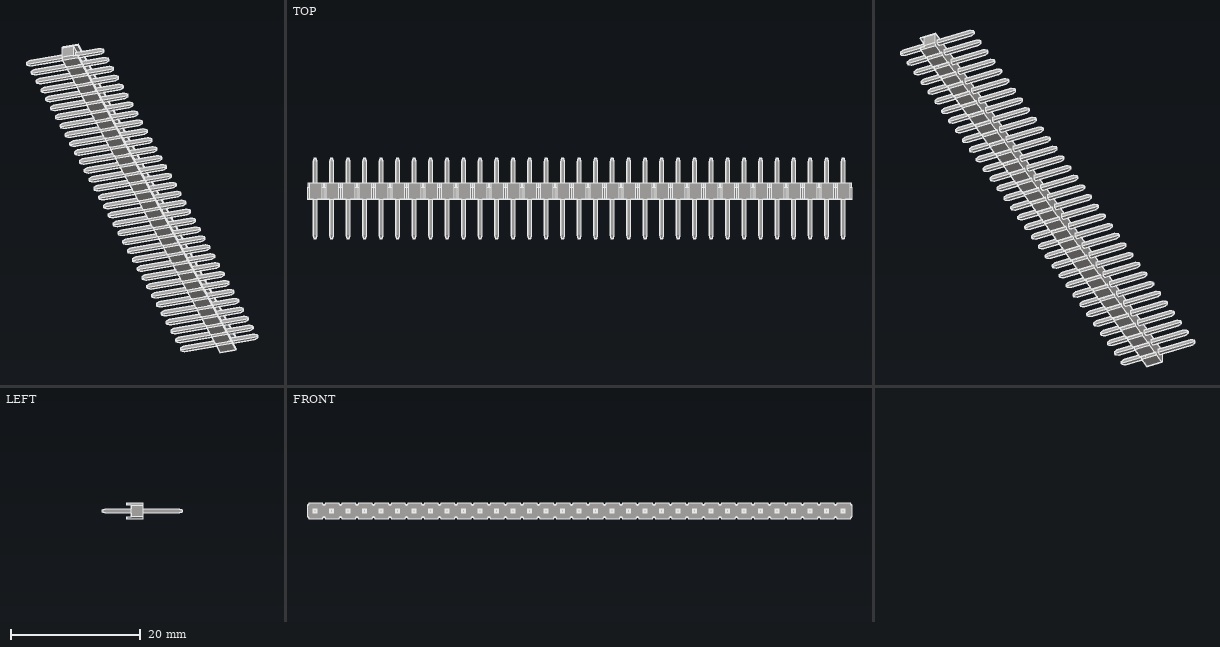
import cadquery as cq

PIN_COUNT = 33
PITCH = 2.54

BODY_DEPTH = 2.54
BODY_HEIGHT = 2.5
CORNER_CHAMFER_X = 0.3
CORNER_CHAMFER_Z = 0.4
CHANNEL_DEPTH = 0.7
FOOT_THICKNESS = 0.33

PIN_SIZE = 0.64
PIN_LENGTH = 12.4
PIN_FRONT_LENGTH = 6.08
PIN_OFFSET = -0.1
TIP_LENGTH = 0.55
TIP_SIZE = PIN_SIZE / 2

BODY_FRONT_Y = -BODY_DEPTH / 2
BODY_BACK_Y = BODY_DEPTH / 2
PIN_FRONT_Y = BODY_FRONT_Y - PIN_FRONT_LENGTH
PIN_BACK_Y = PIN_FRONT_Y + PIN_LENGTH
ROW_LENGTH = PIN_COUNT * PITCH
SEGMENT_CENTRES = [(index - (PIN_COUNT - 1) / 2) * PITCH for index in range(PIN_COUNT)]


def plane_at(y):
    """Plane facing +Y, with its local x along -X and its local y along +Z."""
    return cq.Plane(origin=(0, y, 0), xDir=(-1, 0, 0), normal=(0, 1, 0))


def make_segment_row():
    """Chain of octagonal segments, one per pin, with V-notches between them."""
    half_height = BODY_HEIGHT / 2
    shoulder = half_height - CORNER_CHAMFER_Z
    upper = []
    for x in SEGMENT_CENTRES:
        left = x - PITCH / 2
        right = x + PITCH / 2
        upper.append((left, shoulder))
        upper.append((left + CORNER_CHAMFER_X, half_height))
        upper.append((right - CORNER_CHAMFER_X, half_height))
    upper.append((ROW_LENGTH / 2, shoulder))
    lower = [(x, -z) for x, z in reversed(upper)]
    outline = cq.Workplane(plane_at(BODY_FRONT_Y)).polyline(upper + lower).close()
    return outline.extrude(BODY_DEPTH)


def make_channel():
    """Full-length recess in the +Y face that leaves a foot above and below it."""
    channel_height = BODY_HEIGHT - 2 * FOOT_THICKNESS
    channel = cq.Workplane("XY").box(ROW_LENGTH, CHANNEL_DEPTH, channel_height)
    return channel.translate((0, BODY_BACK_Y - CHANNEL_DEPTH / 2, 0))


def make_tip(base_y, direction):
    """Truncated pyramid from the shaft end at base_y, pointing along +Y (1) or -Y (-1)."""
    return (
        cq.Workplane(plane_at(base_y))
        .rect(PIN_SIZE, PIN_SIZE)
        .workplane(offset=direction * TIP_LENGTH)
        .rect(TIP_SIZE, TIP_SIZE)
        .loft(ruled=True)
    )


def make_pin():
    """Square pin along the Y axis, tapered at both ends."""
    shaft_front = PIN_FRONT_Y + TIP_LENGTH
    shaft_back = PIN_BACK_Y - TIP_LENGTH
    section = cq.Workplane(plane_at(shaft_front)).rect(PIN_SIZE, PIN_SIZE)
    shaft = section.extrude(shaft_back - shaft_front)
    return shaft.union(make_tip(shaft_front, -1)).union(make_tip(shaft_back, 1))


body = make_segment_row().cut(make_channel())
pin = make_pin().val()
pins = [pin.translate(cq.Vector(x + PIN_OFFSET, 0, 0)) for x in SEGMENT_CENTRES]
result = cq.Workplane(body.val().fuse(*pins).Solids()[0])